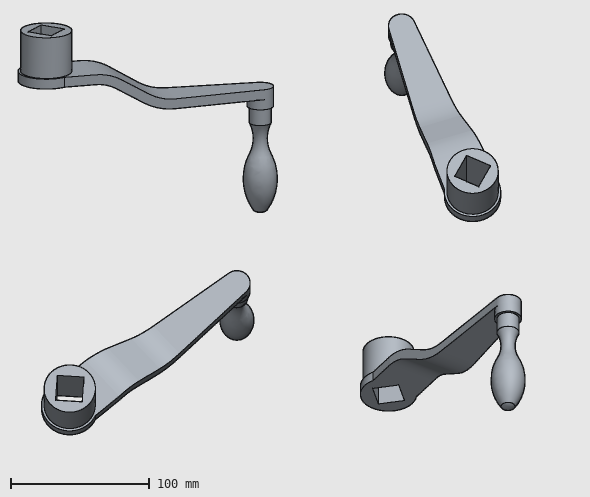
import cadquery as cq
import math

flange_diameter = 40.7
hub_diameter = 37.0
hub_height = 30.6
square_side = 19.3

plate_thickness = 7.5
arm_length = 160.0
arm_tip_radius = 9.6
bend_start = 31.5
bend_angle = math.radians(31.5)
bend_radius = 38.2
arm_drop = 24.3

total_height = 150.0
collar_height = 7.5
ferrule_radius = 8.0
ferrule_length = 12.3
neck_radius = 5.2
neck_length = 23.9
belly_radius = 12.43
belly_center_below_neck = 18.3
cap_radius = 5.0
cap_height = 1.7


def make_hub():
    flange = cq.Workplane("XY").circle(flange_diameter / 2).extrude(plate_thickness)
    barrel = cq.Workplane("XY").circle(hub_diameter / 2).extrude(plate_thickness + hub_height)
    return flange.union(barrel)


def make_arm():
    bend_drop = bend_radius * (1 - math.cos(bend_angle))
    bend_length = bend_radius * math.sin(bend_angle)
    ramp_length = (arm_drop - 2 * bend_drop) / math.tan(bend_angle)
    bend_end = bend_start + 2 * bend_length + ramp_length
    upper_center = (bend_start, plate_thickness - bend_radius)
    lower_center = (bend_end, plate_thickness - arm_drop + bend_radius)

    def on_upper_bend(radius, angle):
        return (
            upper_center[0] + radius * math.sin(angle),
            upper_center[1] + radius * math.cos(angle),
        )

    def on_lower_bend(radius, angle):
        return (
            lower_center[0] - radius * math.sin(angle),
            lower_center[1] - radius * math.cos(angle),
        )

    inner_radius = bend_radius - plate_thickness
    outer_radius = bend_radius + plate_thickness
    half_angle = bend_angle / 2
    tip_end = arm_length + arm_tip_radius

    side = (
        cq.Workplane("YZ")
        .moveTo(0, plate_thickness)
        .lineTo(bend_start, plate_thickness)
        .threePointArc(on_upper_bend(bend_radius, half_angle), on_upper_bend(bend_radius, bend_angle))
        .lineTo(*on_lower_bend(bend_radius, bend_angle))
        .threePointArc(on_lower_bend(bend_radius, half_angle), on_lower_bend(bend_radius, 0))
        .lineTo(tip_end, plate_thickness - arm_drop)
        .lineTo(tip_end, -arm_drop)
        .lineTo(bend_end, -arm_drop)
        .threePointArc(on_lower_bend(outer_radius, half_angle), on_lower_bend(outer_radius, bend_angle))
        .lineTo(*on_upper_bend(inner_radius, bend_angle))
        .threePointArc(on_upper_bend(inner_radius, half_angle), on_upper_bend(inner_radius, 0))
        .lineTo(0, 0)
        .close()
        .extrude(hub_diameter / 2, both=True)
    )

    half_width = hub_diameter / 2
    taper_length = arm_length - bend_start
    taper_angle = math.atan2(half_width, taper_length) - math.asin(
        arm_tip_radius / math.hypot(taper_length, half_width)
    )
    tangent_x = arm_tip_radius * math.cos(taper_angle)
    tangent_y = arm_length + arm_tip_radius * math.sin(taper_angle)
    outline = (
        cq.Workplane("XY")
        .workplane(offset=-arm_drop)
        .moveTo(-half_width, 0)
        .lineTo(-half_width, bend_start)
        .lineTo(-tangent_x, tangent_y)
        .threePointArc((0, tip_end), (tangent_x, tangent_y))
        .lineTo(half_width, bend_start)
        .lineTo(half_width, 0)
        .close()
        .extrude(arm_drop + plate_thickness)
    )
    return side.intersect(outline)


def make_handle():
    top = -arm_drop
    collar_bottom = top - collar_height
    neck_top = collar_bottom - ferrule_length
    neck_bottom = neck_top - neck_length
    belly_z = neck_bottom - belly_center_below_neck
    handle_bottom = plate_thickness + hub_height - total_height
    cap_z = handle_bottom + cap_height

    dome_radius = (cap_radius**2 + cap_height**2) / (2 * cap_height)
    dome_half_angle = math.asin(cap_radius / dome_radius) / 2
    dome_mid = (
        dome_radius * math.sin(dome_half_angle),
        handle_bottom + dome_radius * (1 - math.cos(dome_half_angle)),
    )
    return (
        cq.Workplane("XZ", origin=(0, arm_length, 0))
        .moveTo(0, top)
        .lineTo(arm_tip_radius, top)
        .lineTo(arm_tip_radius, collar_bottom)
        .lineTo(ferrule_radius, collar_bottom)
        .lineTo(ferrule_radius, neck_top)
        .threePointArc((neck_radius, (neck_top + neck_bottom) / 2), (ferrule_radius, neck_bottom))
        .threePointArc((belly_radius, belly_z), (cap_radius, cap_z))
        .threePointArc(dome_mid, (0, handle_bottom))
        .close()
        .revolve(360, (0, 0, 0), (0, 1, 0))
    )


drive_hole = (
    cq.Workplane("XY")
    .rect(square_side, square_side)
    .extrude(plate_thickness + hub_height)
    .rotate((0, 0, 0), (0, 0, 1), 45)
)

result = make_hub().union(make_arm()).union(make_handle()).cut(drive_hole)